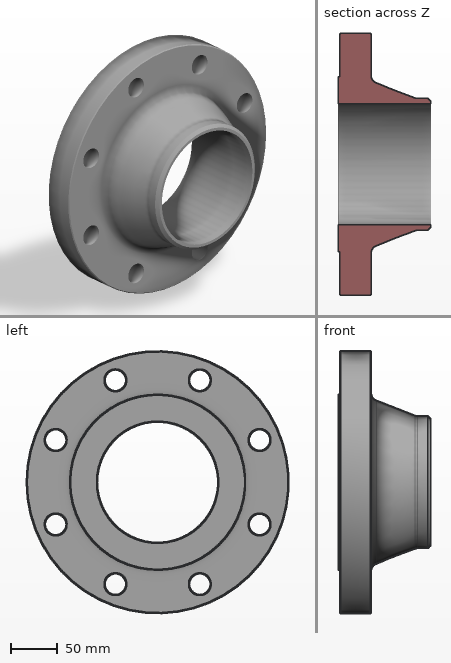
import cadquery as cq
import math

total_length = 99.0
raised_face_height = 1.7
flange_back = 35.5
cone_end = 83.2

flange_radius = 280 / 2
raised_face_radius = 93.8
cone_base_radius = 89.3
pipe_radius = 141.5 / 2
bore_radius = 128.2 / 2

edge_chamfer = 1.0
neck_fillet = 7.8
shoulder_fillet = 6.7
weld_bevel = 3.5

bolt_count = 8
bolt_hole_radius = 22.0 / 2
bolt_circle_radius = 117.5


def disc(start, end, radius):
    """Solid cylinder on the X axis between two stations."""
    return cq.Workplane("YZ").workplane(offset=start).circle(radius).extrude(end - start)


def make_flange():
    plate = disc(raised_face_height, flange_back, flange_radius).edges().chamfer(edge_chamfer)
    face = disc(0, flange_back, raised_face_radius).faces("<X").edges().chamfer(edge_chamfer)
    return plate.union(face)


def make_neck():
    """Revolve the tapered neck, with tangent arcs at both ends of the cone."""
    slope = math.atan2(cone_base_radius - pipe_radius, cone_end - flange_back)
    sin_slope = math.sin(slope)
    cos_slope = math.cos(slope)

    center_r = cone_base_radius - neck_fillet * math.tan(slope) + neck_fillet / cos_slope
    center_x = flange_back + neck_fillet
    root_mid_angle = 1.25 * math.pi - slope / 2
    root = (flange_back, center_r)
    root_mid = (
        center_x + neck_fillet * math.cos(root_mid_angle),
        center_r + neck_fillet * math.sin(root_mid_angle),
    )
    cone_start = (center_x - neck_fillet * sin_slope, center_r - neck_fillet * cos_slope)

    tangent_length = shoulder_fillet * math.tan(slope / 2)
    shoulder_x = cone_end + tangent_length
    shoulder_start = (cone_end - tangent_length * cos_slope, pipe_radius + tangent_length * sin_slope)
    shoulder_mid = (
        shoulder_x - shoulder_fillet * math.sin(slope / 2),
        pipe_radius + shoulder_fillet * (1 - math.cos(slope / 2)),
    )

    profile = (
        cq.Workplane("XZ")
        .moveTo(flange_back, 0)
        .lineTo(*root)
        .threePointArc(root_mid, cone_start)
        .lineTo(*shoulder_start)
        .threePointArc(shoulder_mid, (shoulder_x, pipe_radius))
        .lineTo(total_length, pipe_radius)
        .lineTo(total_length, 0)
        .close()
    )
    neck = profile.revolve(360, (0, 0, 0), (1, 0, 0))
    return neck.faces(">X").edges().chamfer(weld_bevel)


def make_bolt_holes():
    """Through holes that straddle the vertical axis, chamfered on the sealing side."""
    pitch = 360 / bolt_count
    shank = disc(raised_face_height, flange_back, bolt_hole_radius)
    mouth = (
        cq.Workplane("YZ")
        .workplane(offset=raised_face_height)
        .circle(bolt_hole_radius + edge_chamfer)
        .extrude(edge_chamfer, taper=45)
    )
    cutter = shank.union(mouth).translate((0, 0, bolt_circle_radius))
    holes = cq.Workplane("YZ")
    for index in range(bolt_count):
        holes = holes.add(cutter.rotate((0, 0, 0), (1, 0, 0), (index + 0.5) * pitch))
    return holes.combine()


bore = disc(0, total_length, bore_radius)
body = make_flange().union(make_neck()).cut(bore)
bore_mouth = cq.selectors.RadiusNthSelector(0)
body = body.faces("<X").edges(bore_mouth).chamfer(edge_chamfer)
result = body.cut(make_bolt_holes())